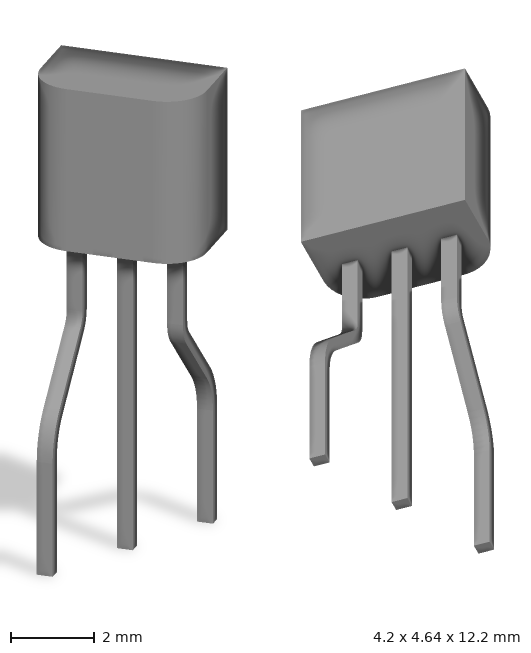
import cadquery as cq
import math

housing_width = 4.2
housing_depth = 2.5
housing_height = 4.2
corner_radius = 1.0

total_height = 12.2
lead_length = total_height - housing_height
lead_width = 0.4
lead_thickness = 0.3
lead_pitch = 1.27

spread_depth = 4.64
straight_drop = 2.0
upper_inner_radius = 0.5
lower_inner_radius = 1.39
bend_angle = math.radians(45)

lead_offset = (spread_depth - lead_thickness) / 2
upper_radius = upper_inner_radius + lead_thickness / 2
lower_radius = lower_inner_radius + lead_thickness / 2


def make_housing():
    """Block standing on Z = 0, centred on X and Y."""
    return (
        cq.Workplane("XY")
        .box(housing_width, housing_depth, housing_height, centered=(True, True, False))
        .edges("|Z and <Y")
        .fillet(corner_radius)
    )


def make_straight_lead():
    """Middle lead, running straight down from the housing."""
    return (
        cq.Workplane("XY")
        .rect(lead_width, lead_thickness)
        .extrude(-lead_length)
    )


def make_bent_lead(x, side):
    """Outer lead at x, bent toward +Y (side = 1) or -Y (side = -1)."""
    sine = math.sin(bend_angle)
    cosine = math.cos(bend_angle)

    bends_shift = (upper_radius + lower_radius) * (1 - cosine)
    slope_length = (lead_offset - bends_shift) / sine
    upper_end_y = upper_radius * (1 - cosine)
    upper_end_z = -straight_drop - upper_radius * sine
    lower_start_y = upper_end_y + slope_length * sine
    lower_start_z = upper_end_z - slope_length * cosine
    lower_end_z = lower_start_z - lower_radius * sine

    half_sine = math.sin(bend_angle / 2)
    half_shift = 1 - math.cos(bend_angle / 2)
    upper_middle = (side * upper_radius * half_shift, -straight_drop - upper_radius * half_sine)
    lower_middle = (side * (lead_offset - lower_radius * half_shift), lower_end_z + lower_radius * half_sine)

    centre_line = (
        cq.Workplane("YZ", origin=(x, 0, 0))
        .moveTo(0, 0)
        .lineTo(0, -straight_drop)
        .threePointArc(upper_middle, (side * upper_end_y, upper_end_z))
        .lineTo(side * lower_start_y, lower_start_z)
        .threePointArc(lower_middle, (side * lead_offset, lower_end_z))
        .lineTo(side * lead_offset, -lead_length)
    )
    return (
        cq.Workplane("XY", origin=(x, 0, 0))
        .rect(lead_width, lead_thickness)
        .sweep(centre_line)
    )


housing = make_housing()
straight_lead = make_straight_lead()

bent_leads = [make_bent_lead(side * lead_pitch, side) for side in (-1, 1)]

result = cq.Compound.makeCompound(
    [housing.val(), straight_lead.val(), *[lead.val() for lead in bent_leads]]
)